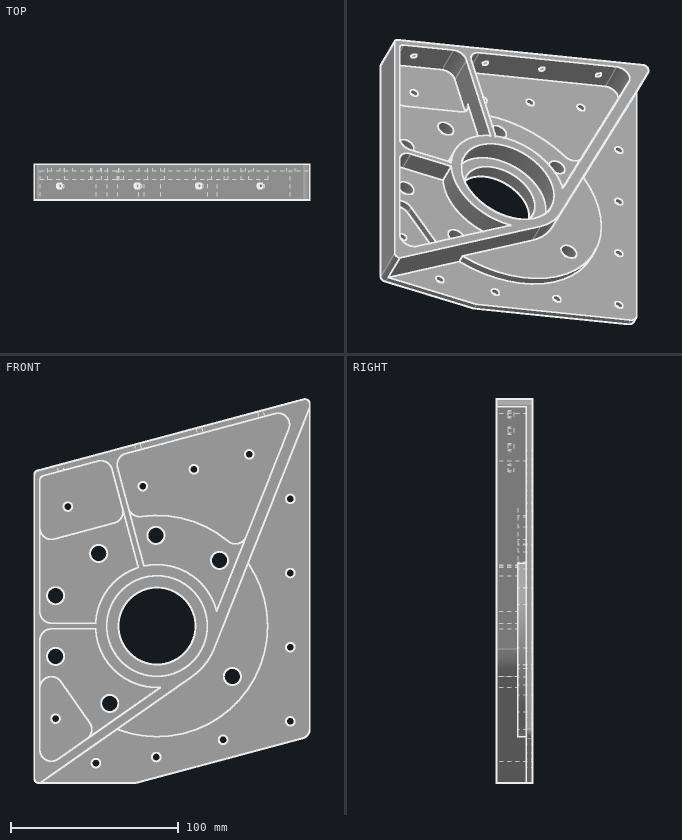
import cadquery as cq
import math


left_edge = 73.2
right_edge = 91.0
bottom_edge = 93.6
height = 229.0
slope_angle = 15.0
bottom_slope_start = -12.8
corner_radius = 3.0
low_right_radius = 6.0

thickness = 21.5
web_thickness = 4.0
pad_height = 5.0
web_front = thickness - web_thickness
pad_front = web_front - pad_height

bore_radius = 23.0
bearing_radius = 30.0
bearing_depth = 12.5
hub_radius = 36.6
pad_radius = 66.0

left_wall = 3.5
top_wall = 4.0
rib_half_width = 1.72
upper_brace_angle = 68.4
lower_brace_angle = 35.0
upper_brace_width = 6.9
lower_brace_width = 5.5
pocket_radius = 6.9
sharp_pocket_radius = 3.0

bolt_radius = 5.0
bolt_circle_radius = 54.0
bolt_angles = (90.7, 46.4, -33.8, -121.4)
loose_bolts = ((-34.8, 43.3), (-60.5, 18.0), (-60.5, -18.0))

pin_radius = 2.5
pin_column_x = 79.5
pin_column_pitch = 44.2
pin_column_bottom = -56.8
pin_column_count = 4
loose_pins = (
    (55.0, 102.3),
    (22.0, 93.5),
    (-8.5, 83.3),
    (-53.0, 71.2),
    (-60.5, -55.2),
    (-36.5, -81.7),
    (-0.5, -78.0),
    (39.4, -67.8),
)

edge_hole_radius = 1.72
edge_hole_y = 8.5
edge_hole_depth = 5.7
edge_hole_xs = (-58.1, -12.0, 24.7, 61.3)


def polar(angle, distance):
    """Point at a given direction and distance from the bore axis."""
    turn = math.radians(angle)
    return (distance * math.cos(turn), distance * math.sin(turn))


def meet(first, second):
    """Point where two lines cross; a line is (direction of its normal, distance from the bore axis)."""
    a, b = (math.radians(line[0]) for line in (first, second))
    span = math.sin(b - a)
    x = (first[1] * math.sin(b) - second[1] * math.sin(a)) / span
    z = (second[1] * math.cos(a) - first[1] * math.cos(b)) / span
    return (x, z)


def prism(points, front, back):
    """Polygon in XZ filled from Y = front to Y = back."""
    return cq.Workplane("XZ", origin=(0, front, 0)).polyline(points).close().extrude(front - back)


def disc(radius, front, back, centers=((0, 0),)):
    """Round posts along Y from Y = front to Y = back."""
    return cq.Workplane("XZ", origin=(0, front, 0)).pushPoints(centers).circle(radius).extrude(front - back)


def round_corners(body, points, radius):
    """Fillet the edges along Y that stand at the given XZ points."""
    middle_y = body.val().BoundingBox().center.y
    for x, z in points:
        body = body.edges(cq.NearestToPointSelector((x, middle_y, z))).fillet(radius)
    return body


top_angle = 90 + slope_angle
apex_x = right_edge - corner_radius
apex_z = height - bottom_edge - corner_radius
slope = math.radians(slope_angle)
top_distance = apex_z * math.cos(slope) - apex_x * math.sin(slope) + corner_radius
bottom_slope_distance = bottom_edge * math.cos(slope) + bottom_slope_start * math.sin(slope)

left_side = (180, left_edge)
right_side = (0, right_edge)
bottom_side = (270, bottom_edge)
top_side = (top_angle, top_distance)
bottom_slope = (270 + slope_angle, bottom_slope_distance)

left_inside = (180, left_edge - left_wall)
top_inside = (top_angle, top_distance - top_wall)

upper_brace_normal = upper_brace_angle - 90
lower_brace_normal = lower_brace_angle - 90
upper_brace_outside = (upper_brace_normal, hub_radius)
lower_brace_outside = (lower_brace_normal, hub_radius)
upper_brace_inside = (upper_brace_normal, hub_radius - upper_brace_width)
lower_brace_inside = (lower_brace_normal, hub_radius - lower_brace_width)

top_rib_right = (slope_angle, rib_half_width)
top_rib_left = (slope_angle + 180, rib_half_width)
side_rib_above = (90, rib_half_width)
side_rib_below = (270, rib_half_width)


def make_outline(front):
    """Whole outline with rounded corners, from Y = front to the back face."""
    top_left = meet(left_side, top_side)
    top_right = meet(top_side, right_side)
    low_right = meet(right_side, bottom_slope)
    low_middle = meet(bottom_slope, bottom_side)
    low_left = meet(bottom_side, left_side)
    body = prism([top_left, top_right, low_right, low_middle, low_left], front, thickness)
    body = round_corners(body, [top_left, top_right, low_left], corner_radius)
    return round_corners(body, [low_right], low_right_radius)


def make_blank():
    """Thin web over the whole outline, full depth inside the braces, with the pad around the hub."""
    elbow = meet(upper_brace_outside, lower_brace_outside)
    frame = prism(
        [
            meet(left_side, top_side),
            meet(top_side, upper_brace_outside),
            elbow,
            meet(lower_brace_outside, left_side),
        ],
        0,
        thickness,
    )
    frame = round_corners(frame, [elbow], hub_radius)
    web = make_outline(web_front)
    pad = disc(pad_radius, pad_front, thickness)
    return make_outline(0).intersect(frame).union(web).union(pad)


def upper_left_pocket():
    """Pocket between the two ribs, deeper beyond a straight step that is tangent to the pad."""
    step = (top_angle, pad_radius)
    low_left = meet(left_inside, side_rib_above)
    top_left = meet(left_inside, top_inside)
    top_right = meet(top_inside, top_rib_left)
    step_ends = [meet(step, top_rib_left), meet(step, left_inside)]

    shallow = prism([low_left, top_left, top_right, meet(top_rib_left, side_rib_above)], 0, pad_front)
    shallow = round_corners(shallow, [low_left, top_right], pocket_radius)
    shallow = round_corners(shallow, [top_left], sharp_pocket_radius)

    deep = prism([top_left, top_right] + step_ends, 0, web_front)
    deep = round_corners(deep, [top_right] + step_ends, pocket_radius)
    deep = round_corners(deep, [top_left], sharp_pocket_radius)
    return shallow.union(deep)


def lower_left_pocket():
    """Pocket below the side rib, deeper beyond a straight step square to the lower brace."""
    step = (lower_brace_angle + 180, pad_radius)
    top_left = meet(left_inside, side_rib_below)
    low_left = meet(left_inside, lower_brace_inside)
    step_ends = [meet(step, lower_brace_inside), meet(step, left_inside)]

    shallow = prism([top_left, polar(*side_rib_below), polar(*lower_brace_inside), low_left], 0, pad_front)
    shallow = round_corners(shallow, [top_left, low_left], pocket_radius)

    deep = prism([low_left] + step_ends, 0, web_front)
    deep = round_corners(deep, [low_left] + step_ends, pocket_radius)
    return shallow.union(deep)


def upper_right_pocket():
    """Pocket between the top rib and the upper brace, deeper outside the round pad."""
    top_left = meet(top_rib_right, top_inside)
    top_right = meet(top_inside, upper_brace_inside)
    points = [polar(*top_rib_right), top_left, top_right, polar(*upper_brace_inside)]

    shallow = round_corners(prism(points, 0, pad_front), [top_left, top_right], pocket_radius)
    deep = prism(points, 0, web_front).cut(disc(pad_radius, 0, web_front))
    deep = deep.edges("|Y").fillet(pocket_radius)
    return shallow.union(deep)


def make_pockets():
    pockets = upper_left_pocket().union(lower_left_pocket()).union(upper_right_pocket())
    return pockets.cut(disc(hub_radius, 0, thickness))


def make_face_holes():
    """Stepped bore, bolt holes and pin holes, all along Y."""
    bore = disc(bore_radius, 0, thickness).union(disc(bearing_radius, 0, bearing_depth))
    bolts = [polar(angle, bolt_circle_radius) for angle in bolt_angles] + list(loose_bolts)
    column = [(pin_column_x, pin_column_bottom + i * pin_column_pitch) for i in range(pin_column_count)]
    pins = column + list(loose_pins)
    bolt_holes = disc(bolt_radius, 0, thickness, bolts)
    pin_holes = disc(pin_radius, 0, thickness, pins)
    return bore.union(bolt_holes).union(pin_holes)


def make_edge_hole(x):
    """Hole square to the sloped top side, through the wall into the pocket behind it."""
    z = (top_distance + x * math.sin(slope)) / math.cos(slope)
    inward = cq.Vector(math.sin(slope), 0, -math.cos(slope))
    return cq.Solid.makeCylinder(edge_hole_radius, edge_hole_depth, cq.Vector(x, edge_hole_y, z), inward)


result = make_blank().cut(make_pockets()).cut(make_face_holes())
for hole_x in edge_hole_xs:
    result = result.cut(cq.Workplane(make_edge_hole(hole_x)))